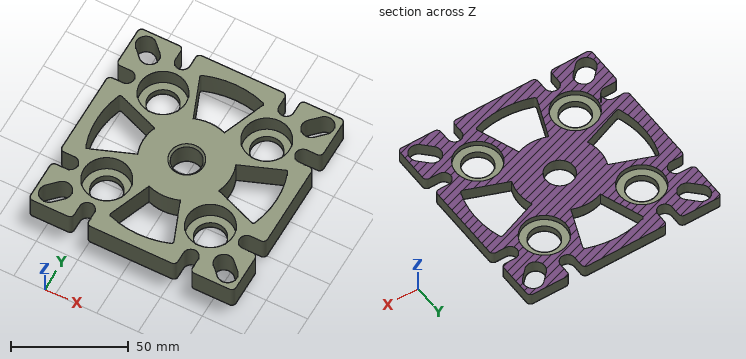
import cadquery as cq
import math

plate_side = 99.0
plate_thickness = 12.0
half_side = plate_side / 2
corner_radius = 2.0

hole_spacing = 50.0
hole_diameter = 14.6
counterbore_diameter = 22.0
counterbore_depth = 8.5

notch_width = 7.0
notch_depth = 10.5

slot_width = 9.0
slot_centre_offset = 41.0
slot_end_step = 4.0
diagonal_angle = 45

window_inner_radius = 21.0
window_outer_radius = 43.3
window_half_angle = 21.0
window_corner_radius = 1.0

centre_hole_diameter = 14.0
centre_chamfer = 1.0
countersink_angle = 90

quarter_turns = [0, 90, 180, 270]


def turn(shape, angle):
    """Rotate a shape about the Z axis."""
    return shape.rotate((0, 0, 0), (0, 0, 1), angle)


def polar_point(radius, angle):
    """Point in the XY plane at an angle in degrees from +X."""
    return (radius * math.cos(math.radians(angle)), radius * math.sin(math.radians(angle)))


def make_notch(offset):
    """Cutter for a round-ended notch in the +X edge, at Y = offset."""
    cutter_length = 2 * notch_depth
    return (
        cq.Workplane("XY")
        .center(half_side, offset)
        .slot2D(cutter_length, notch_width)
        .extrude(plate_thickness)
    )


def make_plate():
    """Notched plate with every outer vertical corner rounded."""
    plate = cq.Workplane("XY").rect(plate_side, plate_side).extrude(plate_thickness)
    for angle in quarter_turns:
        for offset in (-hole_spacing / 2, hole_spacing / 2):
            plate = plate.cut(turn(make_notch(offset), angle))

    outer_sides = plate.faces("<X or >X or <Y or >Y")
    return outer_sides.edges("|Z").fillet(corner_radius)


def make_window():
    """Cutter for the ring-sector window on the +X side, outer corners rounded."""
    sector = (
        cq.Workplane("XY")
        .moveTo(*polar_point(window_inner_radius, -window_half_angle))
        .lineTo(*polar_point(window_outer_radius, -window_half_angle))
        .threePointArc((window_outer_radius, 0), polar_point(window_outer_radius, window_half_angle))
        .lineTo(*polar_point(window_inner_radius, window_half_angle))
        .threePointArc((window_inner_radius, 0), polar_point(window_inner_radius, -window_half_angle))
        .close()
        .extrude(plate_thickness)
    )
    hub_side_edges = cq.selectors.BoxSelector(
        (0, -half_side, 0), (window_inner_radius, half_side, plate_thickness)
    )
    outer_corners = cq.selectors.SubtractSelector(cq.selectors.StringSyntaxSelector("|Z"), hub_side_edges)
    return sector.edges(outer_corners).fillet(window_corner_radius)


def make_corner_slot():
    """Cutter for the slot along the diagonal of the +X +Y corner."""
    slot_length = slot_end_step * math.sqrt(2) + slot_width
    return (
        cq.Workplane("XY")
        .center(slot_centre_offset, slot_centre_offset)
        .slot2D(slot_length, slot_width, diagonal_angle)
        .extrude(plate_thickness)
    )


def cut_counterbored_holes(plate):
    """Stepped through holes opening wide at the top face."""
    return (
        plate.faces(">Z")
        .workplane(origin=(0, 0, plate_thickness))
        .rect(hole_spacing, hole_spacing, forConstruction=True)
        .vertices()
        .cboreHole(hole_diameter, counterbore_diameter, counterbore_depth)
    )


def cut_centre_hole(plate):
    """Through hole on the axis, chamfered at the top face."""
    countersink_diameter = centre_hole_diameter + 2 * centre_chamfer
    return (
        plate.faces(">Z")
        .workplane(origin=(0, 0, plate_thickness))
        .cskHole(centre_hole_diameter, countersink_diameter, countersink_angle)
    )


result = make_plate()
for angle in quarter_turns:
    result = result.cut(turn(make_window(), angle))
    result = result.cut(turn(make_corner_slot(), angle))
result = cut_counterbored_holes(result)
result = cut_centre_hole(result)